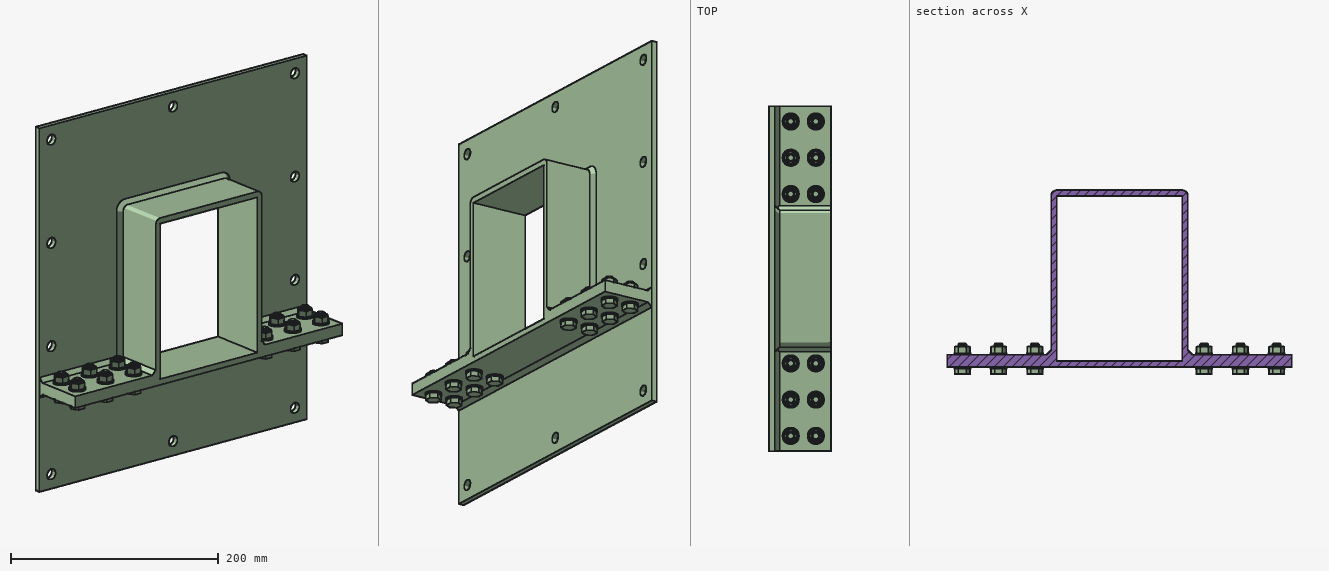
import cadquery as cq
import math

sheet = 6.0
depth = 60.0
upper_height = 265.0
lower_height = 106.5
plate_width = 332.5
flange_width = 332.0

opening_width = 120.7
box_width = 132.0
box_drop = 100.3
box_top = upper_height - box_drop
opening_top = box_top - sheet

weld_leg = 4.5

hole_diameter = 10.5
hole_margin = 15.0
hole_y = plate_width / 2 - hole_margin
hole_pitch_z = 105.5

bolt_diameter = 8.0
bolt_edge = 15.0
bolt_pitch_x = 24.0
bolt_pitch_y = 35.0
bolt_end = 2.5
thread_chamfer = 1.0
washer_diameter = 16.0
washer_thickness = 1.6
hex_flats = 13.0
nut_height = 6.7
nut_face_diameter = 11.5
head_height = 5.2


def block(x_range, y_range, z_range):
    """Axis-aligned block between the given limits."""
    (x0, x1), (y0, y1), (z0, z1) = x_range, y_range, z_range
    return cq.Workplane("XY").box(x1 - x0, y1 - y0, z1 - z0, centered=False).translate((x0, y0, z0))


def span(width):
    """Limits of a width centred on zero."""
    return (-width / 2, width / 2)


def make_box():
    """Block of the box before hollowing, with its two long top corners rounded."""
    return block((0, depth), span(box_width), (0, box_top)).edges("|X and >Z").fillet(sheet)


def plate_to_box_weld():
    """Collar around the box, tapering to the box outline one leg away from the plate."""
    outline = (
        cq.Sketch()
        .push([(0, box_top / 2)])
        .rect(box_width, box_top)
        .reset()
        .vertices(">Y")
        .fillet(sheet)
        .reset()
        .wires()
        .offset(weld_leg)
        .clean()
    )
    collar = cq.Workplane("YZ", origin=(sheet, 0, 0)).placeSketch(outline)
    return collar.extrude(weld_leg, taper=45)


def plate_to_flange_weld():
    """Wedges above and below the pair of flanges, along their whole length."""
    wide = sheet + weld_leg
    profile = [(sheet, -wide), (wide, -sheet), (wide, sheet), (sheet, wide)]
    weld = cq.Workplane("XZ").polyline(profile).close()
    return weld.extrude(flange_width / 2, both=True)


def box_to_flange_weld():
    """Wedges along both sides of the box, on top of the upper flange."""
    half = box_width / 2
    top = sheet + weld_leg
    profile = [(-half - weld_leg, sheet), (half + weld_leg, sheet), (half, top), (-half, top)]
    weld = cq.Workplane("YZ", origin=(sheet, 0, 0)).polyline(profile).close()
    return weld.extrude(depth - sheet)


def make_frame():
    """Plate, box, pair of flanges and their 45 degree welds, with the opening cut through."""
    plate = block((0, sheet), span(plate_width), (-lower_height, upper_height))
    flanges = block((0, depth), span(flange_width), (-sheet, sheet))
    frame = plate.union(flanges)
    for piece in (make_box(), plate_to_box_weld(), plate_to_flange_weld(), box_to_flange_weld()):
        frame = frame.union(piece)
    return frame.cut(block((0, depth), span(opening_width), (0, opening_top)))


def drill_plate(frame):
    """Through holes along the margins of the plate."""
    top_z = upper_height - hole_margin
    bottom_z = hole_margin - lower_height
    points = [(0, top_z), (0, bottom_z)]
    for y in (-hole_y, hole_y):
        points.append((y, bottom_z))
        points += [(y, top_z - row * hole_pitch_z) for row in range(3)]
    holes = cq.Workplane("YZ").pushPoints(points).circle(hole_diameter / 2).extrude(sheet)
    return frame.cut(holes)


def make_bolt():
    """Bolt, two washers, nut and head about the Z axis, clamping the flanges at Z = 0."""
    corners = hex_flats / math.cos(math.pi / 6)
    washer_top = sheet + washer_thickness
    nut_top = washer_top + nut_height
    tip = nut_top + bolt_end

    def hexagon(z, height):
        prism = cq.Workplane("XY").polygon(6, corners).extrude(height)
        return prism.rotate((0, 0, 0), (0, 0, 1), 90).translate((0, 0, z))

    def disc(diameter, z, height):
        return cq.Workplane("XY").workplane(offset=z).circle(diameter / 2).extrude(height)

    nut = hexagon(washer_top, nut_height)
    cone_width = (corners - nut_face_diameter) / 2
    cone_drop = cone_width * math.tan(math.pi / 6)
    turned_blank = disc(corners, washer_top, nut_height).faces(">Z").chamfer(cone_drop, cone_width)
    nut = nut.intersect(turned_blank)

    shank = disc(bolt_diameter, -washer_top, washer_top + tip).faces(">Z").chamfer(thread_chamfer)
    washers = disc(washer_diameter, -washer_top, 2 * washer_top)
    head = hexagon(-washer_top - head_height, head_height)
    return washers.union(nut).union(shank).union(head)


def add_bolts(frame):
    """Three rows of two bolts on each side of the box."""
    bolt = make_bolt()
    for side in (-1, 1):
        for row in range(3):
            for column in range(2):
                x = depth - bolt_edge - column * bolt_pitch_x
                y = side * (hole_y - row * bolt_pitch_y)
                frame = frame.union(bolt.translate((x, y, 0)))
    return frame


result = add_bolts(drill_plate(make_frame()))